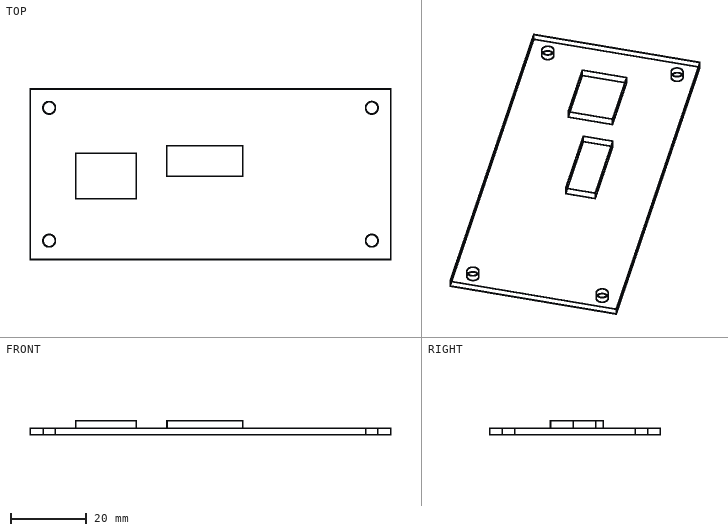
import cadquery as cq

board_length = 95.0
board_width = 45.0
board_thickness = 1.8

hole_diameter = 3.2
hole_inset = 5.0

component_height = 2.0
square_chip = (12.0, 16.0, 16.0, 12.0)
long_chip = (36.0, 22.0, 20.0, 8.0)


def make_board():
    """Flat rectangular board with its front left bottom corner at the origin."""
    return cq.Workplane("XY").box(board_length, board_width, board_thickness, centered=False)


def drill_mounting_holes(board):
    """Through holes at equal inset from the edges at all four corners."""
    centers = [
        (x, y)
        for x in (hole_inset, board_length - hole_inset)
        for y in (hole_inset, board_width - hole_inset)
    ]
    drills = (
        cq.Workplane("XY")
        .pushPoints(centers)
        .circle(hole_diameter / 2)
        .extrude(board_thickness)
    )
    return board.cut(drills)


def make_component(left, front, length, width):
    """Rectangular block standing on the top face of the board."""
    block = cq.Workplane("XY").box(length, width, component_height, centered=False)
    return block.translate((left, front, board_thickness))


result = drill_mounting_holes(make_board())
for chip in (square_chip, long_chip):
    result = result.union(make_component(*chip))